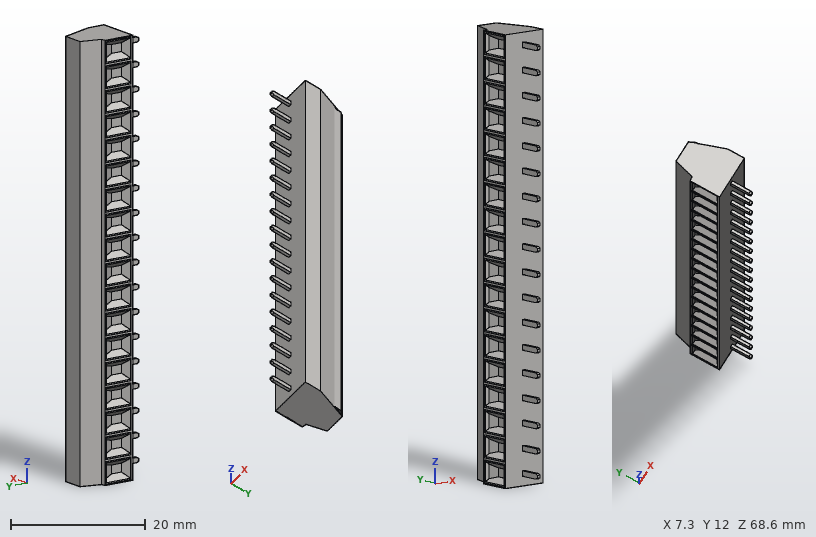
import cadquery as cq

length = 68.6
pole_count = 18
pitch = length / pole_count

width = 7.3
height = 8.5
ledge_height = 5.2
ledge_drop = 0.15
ledge_width = 0.75
top_left = 1.65
top_right = 5.3
shoulder_height = 2.9

rib_crest_x = 5.8
rib_crest_y = 7.8
rib_foot_y = 6.6
rib_end_gap = 0.35

funnel_depth = 1.2
lip_depth = 0.1
lip_inset = 0.2
mouth_low = 0.35
mouth_high = 4.95
wall_between = 0.35
mouth_span = pitch - wall_between
floor_low = 1.25
floor_high = 4.4
floor_span = 1.4
ramp_start = 3.1
ramp_rise = 0.5

pin_x = 3.5
pin_thickness = 0.5
pin_span = 0.8
pin_length = 3.5
tip_length = 0.35
tip_inset = 0.2


def make_housing():
    """Constant cross-section extruded over the full length."""
    outline = [
        (0, 0),
        (width, 0),
        (width, shoulder_height),
        (top_right, height),
        (top_left, height),
        (ledge_width, ledge_height),
        (0, ledge_height - ledge_drop),
    ]
    return cq.Workplane("XY").polyline(outline).close().extrude(length)


def make_rib():
    """Triangular rib whose back lies on the sloping +X side."""
    slope = (width - top_right) / (height - shoulder_height)
    rib_foot_x = top_right + slope * (height - rib_foot_y)
    return (
        cq.Workplane("XY", origin=(0, 0, rib_end_gap))
        .moveTo(top_right, height)
        .lineTo(rib_crest_x, rib_crest_y)
        .lineTo(rib_foot_x, rib_foot_y)
        .close()
        .extrude(length - 2 * rib_end_gap)
    )


def make_funnel(z):
    """Stepped and tapered wire entry centred at height z, with a ramp on its floor."""
    mouth_middle = (mouth_low + mouth_high) / 2
    lip = (
        cq.Workplane("YZ")
        .center(mouth_middle, z)
        .rect(mouth_high - mouth_low, mouth_span)
        .extrude(lip_depth)
    )
    throat_high = mouth_high - lip_inset
    throat_span = mouth_span - 2 * lip_inset
    throat_middle = (mouth_low + throat_high) / 2
    floor_middle = (floor_low + floor_high) / 2
    taper = (
        cq.Workplane("YZ", origin=(lip_depth, 0, 0))
        .center(throat_middle, z)
        .rect(throat_high - mouth_low, throat_span)
        .workplane(offset=funnel_depth - lip_depth)
        .center(floor_middle - throat_middle, 0)
        .rect(floor_high - floor_low, floor_span)
        .loft(ruled=True)
    )
    slope = ramp_rise / (floor_high - ramp_start)
    ramp_end = funnel_depth - slope * (throat_high - ramp_start)
    ramp = (
        cq.Workplane("XY", origin=(0, 0, z - mouth_span / 2))
        .moveTo(funnel_depth, ramp_start)
        .lineTo(funnel_depth, throat_high)
        .lineTo(ramp_end, throat_high)
        .close()
        .extrude(mouth_span)
    )
    return lip.union(taper.cut(ramp))


def make_pin(z):
    """Flat pin centred at height z, narrowing at its tip."""
    half = pin_span / 2
    tip_half = half - tip_inset
    outline = [
        (half, 0),
        (half, -pin_length + tip_length),
        (tip_half, -pin_length),
        (-tip_half, -pin_length),
        (-half, -pin_length + tip_length),
        (-half, 0),
    ]
    return (
        cq.Workplane("YZ", origin=(pin_x - pin_thickness / 2, 0, z))
        .polyline([(y, across) for across, y in outline])
        .close()
        .extrude(pin_thickness)
    )


result = make_housing().union(make_rib())
for pole in range(pole_count):
    pole_z = (pole + 0.5) * pitch
    result = result.cut(make_funnel(pole_z)).union(make_pin(pole_z))